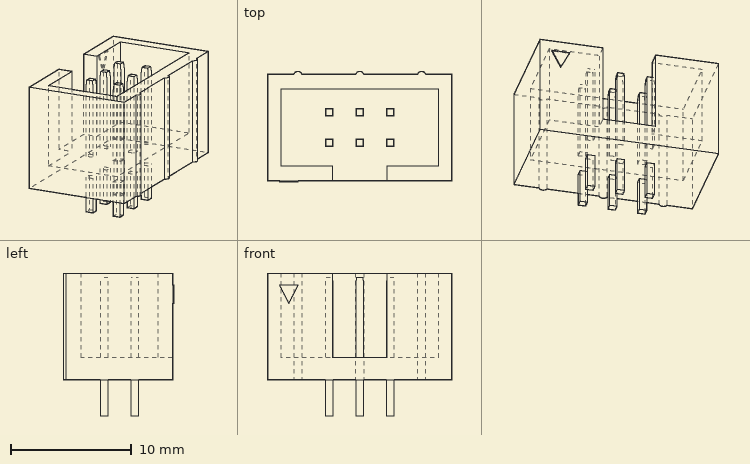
import cadquery as cq


length = 15.28
depth = 8.85
height = 8.85
end_wall = 1.1
side_wall = 1.24
floor_thickness = 1.85
key_slot_width = 4.5

columns = 3
rows = 2
pitch = 2.54
pin_width = 0.64
pin_tail = 3.01
pin_recess = 0.35
tip_height = 0.5
tip_width = 0.53

rib_count = 3
rib_spacing = 5.13
rib_radius = 0.35
rib_projection = 0.25

mark_width = 1.53
mark_height = 1.5
mark_projection = 0.1
mark_inset = 1.0

front_y = -depth / 2
back_y = depth / 2
cavity_depth = height - floor_thickness
pin_top = height - pin_recess


def upright_box(size_x, size_y, size_z, x=0.0, y=0.0, base_z=0.0):
    """Box centred on (x, y) that rises from base_z."""
    box = cq.Workplane("XY").box(size_x, size_y, size_z, centered=(True, True, False))
    return box.translate((x, y, base_z))


def make_housing():
    """Open-topped shroud with a key slot through the front wall."""
    block = upright_box(length, depth, height)
    cavity = upright_box(
        length - 2 * end_wall, depth - 2 * side_wall, cavity_depth, base_z=floor_thickness
    )
    key_slot = upright_box(
        key_slot_width, side_wall, cavity_depth, y=front_y + side_wall / 2, base_z=floor_thickness
    )
    return block.cut(cavity).cut(key_slot)


def make_pin():
    """Square pin on the Z axis with a tapered tip."""
    shank_length = pin_tail + pin_top - tip_height
    shank = upright_box(pin_width, pin_width, shank_length, base_z=-pin_tail)
    tip = (
        cq.Workplane("XY")
        .workplane(offset=pin_top - tip_height)
        .rect(pin_width, pin_width)
        .workplane(offset=tip_height)
        .rect(tip_width, tip_width)
        .loft()
    )
    return shank.union(tip)


def make_rib():
    """Full-height round rib, partly sunk into the back face."""
    rib = cq.Workplane("XY").circle(rib_radius).extrude(height)
    return rib.translate((0, back_y + rib_projection - rib_radius, 0))


def make_mark():
    """Raised triangle pointing down."""
    left = -length / 2 + mark_inset
    top = height - mark_inset
    outline = [
        (left, top),
        (left + mark_width, top),
        (left + mark_width / 2, top - mark_height),
    ]
    return cq.Workplane("XZ", origin=(0, front_y, 0)).polyline(outline).close().extrude(mark_projection)


def centred_positions(count, spacing):
    """Evenly spaced positions, symmetric about zero."""
    return [(i - (count - 1) / 2) * spacing for i in range(count)]


result = make_housing().union(make_mark())

rib = make_rib()
for x in centred_positions(rib_count, rib_spacing):
    result = result.union(rib.translate((x, 0, 0)))

pin = make_pin()
for x in centred_positions(columns, pitch):
    for y in centred_positions(rows, pitch):
        result = result.union(pin.translate((x, y, 0)))